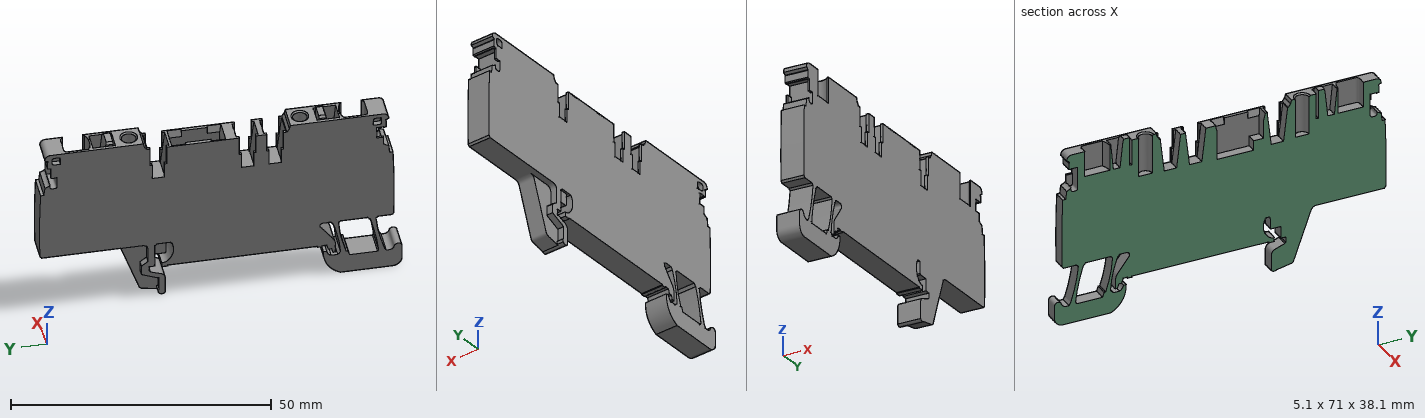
import cadquery as cq


THICKNESS = 5.1
HALF_THICKNESS = THICKNESS / 2
TOTAL_LENGTH = 71.0
HALF_LENGTH = 34.7
HOUSING_Y = TOTAL_LENGTH / 2 - HALF_LENGTH
HOUSING_BOTTOM = 12.55
CLAMP_TOP = 37.5
BLOCK_TOP = 36.0
LEVER_TOP = 38.1
RAIL_SEAT = 7.0
OVERLAP = 0.35

SLOT_FLOOR = 28.75
SLOT_STEP = 31.95
SLOT_LOWER_WIDTH = 2.4
SLOT_UPPER_WIDTH = 3.3
SLOT_CORE_FLOOR_WIDTH = 2.55
SLOT_CORE_TOP_WIDTH = 4.25
SLOT_CORE_HALF_X = 2.0
OUTER_SLOT_OFFSET = 11.4
INNER_SLOT_Y = -5.25

WINDOW_Y = (-0.65, 9.2)
WINDOW_HALF_X = 1.85
WINDOW_FLOOR = 28.4
WINDOW_LEDGE = 30.5
WINDOW_LEDGE_LENGTH = 2.1
WINDOW_MOUTH_HALF_X = 2.35
WINDOW_MOUTH_DEPTH = 1.4
WINDOW_MOUTH_LENGTH = 2.4
WINDOW_MOUTH_LEAD = 0.35

HOLE_OFFSET = 16.75
HOLE_RADIUS = 1.4
HOLE_CHAMFER = 0.3
HOLE_DEPTH = 8.5
SPRING_WINDOW = (19.7, 24.1)
SPRING_WINDOW_HALF_X = 1.9
SPRING_WINDOW_FLOOR = 31.95
SPRING_WINDOW_TAPER = 0.6
LEVER_HALF_X = 1.8
LEVER_CHAMFER = 0.4
FUNNEL_OUTER = 29.75
FUNNEL_INNER = 25.0
FUNNEL_BULGE = 0.6
FUNNEL_X = (-2.05, 2.3)
FUNNEL_FLOOR = 31.95
FUNNEL_CORNER = 0.65
FUNNEL_SIDE_GAP = (25.3, 29.25)

LOCK_INNER = 31.3
LOCK_OUTER = 32.65
LOCK_Z = (29.25, 31.8, 34.3)
LOCK_TAB = 0.4
LOCK_FILLET = 0.4
SOCKET_OFFSET = 31.45
SOCKET_Z = 35.85
SOCKET_SIZE = 1.6
SOCKET_DEPTH = 1.1
SOCKET_FILLET = 0.5

WEB_SETBACK = 1.4
GUSSET_SETBACK = 0.4


def side_plate(path, x_min=-HALF_THICKNESS, x_max=HALF_THICKNESS):
    """Extrude a closed (Y, Z) outline along X.

    A step in the path is a point (straight line) or a pair of points
    (arc through the first, ending at the second).
    """
    outline = cq.Workplane("YZ", origin=(x_min, 0, 0)).moveTo(*path[0])
    for step in path[1:]:
        if isinstance(step[0], tuple):
            outline = outline.threePointArc(*step)
        else:
            outline = outline.lineTo(*step)
    return outline.close().extrude(x_max - x_min)


def box(x_range, y_range, z_range):
    size = [r[1] - r[0] for r in (x_range, y_range, z_range)]
    corner = (x_range[0], y_range[0], z_range[0])
    return cq.Workplane("XY").box(*size, centered=False).translate(corner)


def at_both_ends(feature, half_turn=False):
    """Move a feature from the housing middle plane to +Y and repeat it at the -Y end."""
    if half_turn:
        twin = feature.rotate((0, 0, 0), (0, 0, 1), 180)
    else:
        twin = feature.mirror("XZ")
    return feature.union(twin).translate((0, HOUSING_Y, 0))


def housing():
    """Main plate with stepped ends and a lowered middle stretch."""
    half_outline = [
        (0.0, HOUSING_BOTTOM),
        (34.3, HOUSING_BOTTOM),
        (34.65, 13.0),
        ((HALF_LENGTH, 18.45), (34.5, 27.9)),
        (33.85, 27.9),
        (33.65, 29.6),
        (33.0, 29.9),
        (LOCK_OUTER, 30.2),
        (LOCK_OUTER, LOCK_Z[1]),
        (32.45, LOCK_Z[1]),
        (32.45, 34.1),
        (33.15, 34.3),
        (33.15, 35.7),
        (33.0, 35.9),
        (33.65, 36.3),
        ((33.35, 37.1), (32.65, CLAMP_TOP)),
        (14.4, CLAMP_TOP),
        (14.2, 36.7),
        (13.7, BLOCK_TOP),
        (0.0, BLOCK_TOP),
    ]
    return at_both_ends(side_plate(half_outline))


def rail_seat():
    """Lower middle of the housing that rests on the rail, hooked at both ends."""
    return side_plate([
        (9.9, HOUSING_BOTTOM + OVERLAP),
        (9.9, HOUSING_BOTTOM),
        (9.5, 12.1),
        ((9.3, 10.2), (10.2, 8.4)),
        ((10.8, 7.95), (11.6, 7.8)),
        (11.6, 6.8),
        (10.35, 6.8),
        (10.35, RAIL_SEAT),
        (-18.9, RAIL_SEAT),
        (-18.9, 6.8),
        (-19.8, 6.8),
        (-19.8, RAIL_SEAT),
        (-20.7, RAIL_SEAT),
        (-21.0, 6.0),
        (-21.65, 6.0),
        (-21.9, 5.1),
        (-22.4, 5.1),
        (-22.4, 7.2),
        ((-22.3, 7.9), (-21.9, 8.5)),
        (-19.65, 11.5),
        ((-19.45, 12.2), (-19.95, HOUSING_BOTTOM)),
        (-19.95, HOUSING_BOTTOM + OVERLAP),
    ])


def clip_foot():
    """Springy foot: a full-width bent rib backed by a thinner web and a gusset."""
    joint_top = HOUSING_BOTTOM + OVERLAP
    rib = side_plate([
        (15.55, joint_top),
        (15.55, HOUSING_BOTTOM),
        ((14.6, 12.3), (14.3, 11.5)),
        (14.3, 8.5),
        (15.55, 7.6),
        (15.55, 5.55),
        (12.1, 4.1),
        (12.1, 1.4),
        (12.35, 1.15),
        (12.2, 0.6),
        ((11.4, 0.2), (10.85, 0.6)),
        (10.85, 4.0),
        ((11.1, 4.7), (11.6, 5.1)),
        (13.8, 5.9),
        (14.0, 6.1),
        (14.0, 7.2),
        (12.9, 7.25),
        (12.9, 12.15),
        (12.5, HOUSING_BOTTOM),
        (12.5, joint_top),
    ])
    outer_web = side_plate([
        (20.5, joint_top),
        (20.5, HOUSING_BOTTOM),
        ((19.9, 12.35), (19.45, 11.8)),
        (15.75, 1.55),
        ((15.55, 1.2), (15.2, 1.0)),
        (11.8, 0.35),
        (11.8, 4.6),
        (14.55, 5.7),
        (14.55, 7.8),
        (13.5, 8.5),
        (13.5, joint_top),
    ], WEB_SETBACK - HALF_THICKNESS)
    gusset = side_plate([
        (13.3, 9.8),
        (10.85, 9.8),
        (10.65, 10.0),
        (10.65, 12.1),
        (10.4, joint_top),
        (13.3, joint_top),
    ], GUSSET_SETBACK - HALF_THICKNESS)
    return rib.union(outer_web).union(gusset)


def fixed_foot():
    """Rounded hook foot hanging from two curved struts."""
    joint_top = HOUSING_BOTTOM + OVERLAP
    strut_bottom = 3.7
    hook = side_plate([
        (-20.1, 5.55),
        (-20.7, 5.6),
        ((-21.0, 4.9), (-21.6, 4.5)),
        (-22.85, 4.5),
        (-23.4, 5.05),
        (-24.85, 5.05),
        (-25.2, 4.05),
        (-33.0, 4.05),
        ((-33.65, 4.3), (-33.9, 4.8)),
        ((-34.7, 5.4), (-35.5, 4.6)),
        (-35.5, 1.9),
        ((-34.9, 0.6), (-33.6, 0.0)),
        (-23.4, 0.0),
        ((-21.0, 2.0), (-20.1, 5.0)),
    ])
    inner_strut = side_plate([
        (-21.5, joint_top),
        (-21.5, HOUSING_BOTTOM),
        (-21.9, 12.0),
        ((-22.9, 8.65), (-23.4, 5.05)),
        (-23.4, strut_bottom),
        (-25.2, strut_bottom),
        (-25.2, 4.05),
        (-24.6, 4.75),
        ((-23.6, 8.5), (-23.1, 12.2)),
        (-23.4, HOUSING_BOTTOM),
        (-23.4, joint_top),
    ])
    outer_strut = side_plate([
        (-28.75, joint_top),
        (-28.75, HOUSING_BOTTOM),
        (-29.25, 12.0),
        ((-30.25, 8.3), (-30.9, 4.4)),
        (-30.65, 4.05),
        (-30.65, strut_bottom),
        (-32.4, strut_bottom),
        (-32.4, 4.05),
        (-32.0, 4.6),
        ((-30.95, 8.5), (-30.4, 12.2)),
        (-30.8, HOUSING_BOTTOM),
        (-30.8, joint_top),
    ])
    return hook.union(inner_strut).union(outer_strut)


def marker_slot(y_centre):
    """Stepped slot through both side walls, flared in the core between them."""
    through = [
        box((-HALF_THICKNESS, HALF_THICKNESS),
            (y_centre - width / 2, y_centre + width / 2),
            (floor, BLOCK_TOP))
        for width, floor in ((SLOT_LOWER_WIDTH, SLOT_FLOOR), (SLOT_UPPER_WIDTH, SLOT_STEP))
    ]
    floor_half = SLOT_CORE_FLOOR_WIDTH / 2
    top_half = SLOT_CORE_TOP_WIDTH / 2
    core = side_plate([
        (y_centre - floor_half, SLOT_FLOOR),
        (y_centre + floor_half, SLOT_FLOOR),
        (y_centre + top_half, BLOCK_TOP),
        (y_centre - top_half, BLOCK_TOP),
    ], -SLOT_CORE_HALF_X, SLOT_CORE_HALF_X)
    return through[0].union(through[1]).union(core)


def middle_window():
    """Deep pocket between the slots with a ledge at its +Y end and flared mouths."""
    y_min, y_max = WINDOW_Y
    ledge_y = y_max - WINDOW_LEDGE_LENGTH
    half_x = (-WINDOW_HALF_X, WINDOW_HALF_X)
    pocket = box(half_x, (y_min, ledge_y), (WINDOW_FLOOR, BLOCK_TOP))
    pocket = pocket.union(box(half_x, (ledge_y, y_max), (WINDOW_LEDGE, BLOCK_TOP)))
    mouth_floor = BLOCK_TOP - WINDOW_MOUTH_DEPTH
    for end_y, outward in ((y_min, -1), (y_max, 1)):
        inner_y = end_y - outward * WINDOW_MOUTH_LENGTH
        lead_y = end_y + outward * WINDOW_MOUTH_LEAD
        mouth = (
            cq.Workplane("XY", origin=(0, 0, mouth_floor))
            .center(0, (inner_y + end_y) / 2)
            .rect(2 * WINDOW_HALF_X, abs(end_y - inner_y))
            .workplane(offset=WINDOW_MOUTH_DEPTH)
            .center(0, (lead_y - end_y) / 2)
            .rect(2 * WINDOW_MOUTH_HALF_X, abs(lead_y - inner_y))
            .loft(ruled=True)
        )
        pocket = pocket.union(mouth)
    return pocket


def screwdriver_hole():
    """Blind round hole with a chamfered rim."""
    bore = (
        cq.Workplane("XY", origin=(0, HOLE_OFFSET, CLAMP_TOP))
        .circle(HOLE_RADIUS)
        .extrude(-HOLE_DEPTH)
    )
    rim = (
        cq.Workplane("XY", origin=(0, HOLE_OFFSET, CLAMP_TOP))
        .circle(HOLE_RADIUS + HOLE_CHAMFER)
        .workplane(offset=-HOLE_CHAMFER)
        .circle(HOLE_RADIUS)
        .loft()
    )
    return bore.union(rim)


def wire_funnel():
    """Wire entry pocket with a bulged inner end, open through the +X wall."""
    x_min, x_max = FUNNEL_X
    pocket = (
        cq.Workplane("XY", origin=(0, 0, FUNNEL_FLOOR))
        .moveTo(x_min, FUNNEL_INNER)
        .lineTo(x_min, FUNNEL_OUTER)
        .lineTo(x_max, FUNNEL_OUTER)
        .lineTo(x_max, FUNNEL_INNER)
        .threePointArc(((x_min + x_max) / 2, FUNNEL_INNER - FUNNEL_BULGE), (x_min, FUNNEL_INNER))
        .close()
        .extrude(CLAMP_TOP - FUNNEL_FLOOR)
        .edges("|Z and >Y")
        .fillet(FUNNEL_CORNER)
    )
    side_gap = box((0, HALF_THICKNESS), FUNNEL_SIDE_GAP, (FUNNEL_FLOOR, CLAMP_TOP))
    return pocket.union(side_gap)


def lock_recess():
    """End-face recess leaving a high tab on one side wall and a low tab on the other."""
    low, middle, high = LOCK_Z
    tab_x = HALF_THICKNESS - LOCK_TAB
    depth = (LOCK_INNER, LOCK_OUTER)
    core = box((-tab_x, tab_x), depth, (low, high))
    upper_side = box((tab_x, HALF_THICKNESS), depth, (middle, high))
    lower_side = box((-HALF_THICKNESS, -tab_x), depth, (low, middle))
    recess = core.union(upper_side).union(lower_side)
    return recess.edges("|X and <Z").fillet(LOCK_FILLET)


def clamp_cuts():
    """Openings in the top of the +Y wire clamp."""
    inner, outer = SPRING_WINDOW
    spring_window = side_plate([
        (inner, SPRING_WINDOW_FLOOR),
        (outer - SPRING_WINDOW_TAPER, SPRING_WINDOW_FLOOR),
        (outer, CLAMP_TOP),
        (inner, CLAMP_TOP),
    ], -SPRING_WINDOW_HALF_X, SPRING_WINDOW_HALF_X)
    return screwdriver_hole().union(spring_window).union(wire_funnel())


def square_socket():
    """Blind socket in the -X face; its lower inner corner stays sharp."""
    socket = (
        cq.Workplane("YZ", origin=(-HALF_THICKNESS, SOCKET_OFFSET, SOCKET_Z))
        .rect(SOCKET_SIZE, SOCKET_SIZE)
        .extrude(SOCKET_DEPTH)
    )
    return socket.edges("|X and >Y").fillet(SOCKET_FILLET).edges("|X and >Z and <Y").fillet(SOCKET_FILLET)


def spring_lever():
    """Lever standing in the spring window, its head just above the clamp top."""
    lever = side_plate([
        (20.15, SPRING_WINDOW_FLOOR - OVERLAP),
        (20.15, LEVER_TOP),
        (21.45, LEVER_TOP),
        (21.65, CLAMP_TOP),
        (22.3, SPRING_WINDOW_FLOOR - OVERLAP),
    ], -LEVER_HALF_X, LEVER_HALF_X)
    return lever.faces(">Z").edges("|Y").chamfer(LEVER_CHAMFER)


result = housing().union(rail_seat()).union(clip_foot()).union(fixed_foot())

for slot_y in (HOUSING_Y + OUTER_SLOT_OFFSET, INNER_SLOT_Y, HOUSING_Y - OUTER_SLOT_OFFSET):
    result = result.cut(marker_slot(slot_y))
result = result.cut(middle_window())

result = result.cut(at_both_ends(clamp_cuts()))
result = result.cut(at_both_ends(square_socket()))
result = result.cut(at_both_ends(lock_recess(), half_turn=True))
result = result.union(at_both_ends(spring_lever()))